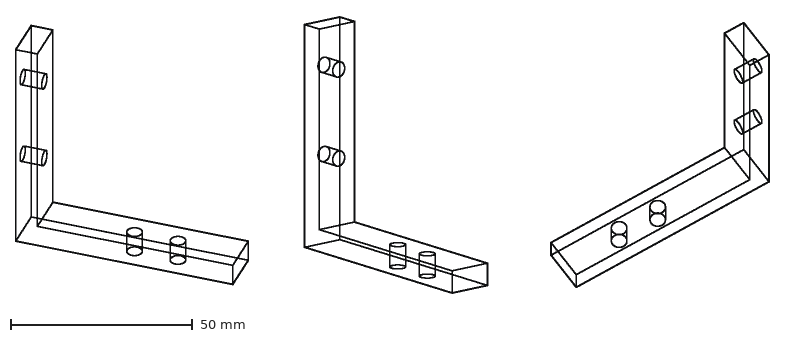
import cadquery as cq

leg_length = 63.5
bar_thickness = 6.35
bar_width = 12.7
hole_diameter = 4.3

base_hole_first_x = 32.5
base_hole_spacing = 12.7
base_hole_count = 2

upright_hole_heights = (25.4, 50.8)
upright_hole_y = -0.635


def make_angle():
    """L-shaped bar with its outer corner at X = Z = 0, centred on Y = 0."""
    base = cq.Workplane("XY").box(leg_length, bar_width, bar_thickness, centered=(False, True, False))
    upright = cq.Workplane("XY").box(bar_thickness, bar_width, leg_length, centered=(False, True, False))
    return base.union(upright)


def make_base_holes():
    """Vertical drills through the base."""
    centres = [(base_hole_first_x + i * base_hole_spacing, 0) for i in range(base_hole_count)]
    return cq.Workplane("XY").pushPoints(centres).circle(hole_diameter / 2).extrude(bar_thickness)


def make_upright_holes():
    """Horizontal drills through the upright."""
    centres = [(upright_hole_y, height) for height in upright_hole_heights]
    return cq.Workplane("YZ").pushPoints(centres).circle(hole_diameter / 2).extrude(bar_thickness)


result = make_angle().cut(make_base_holes()).cut(make_upright_holes())